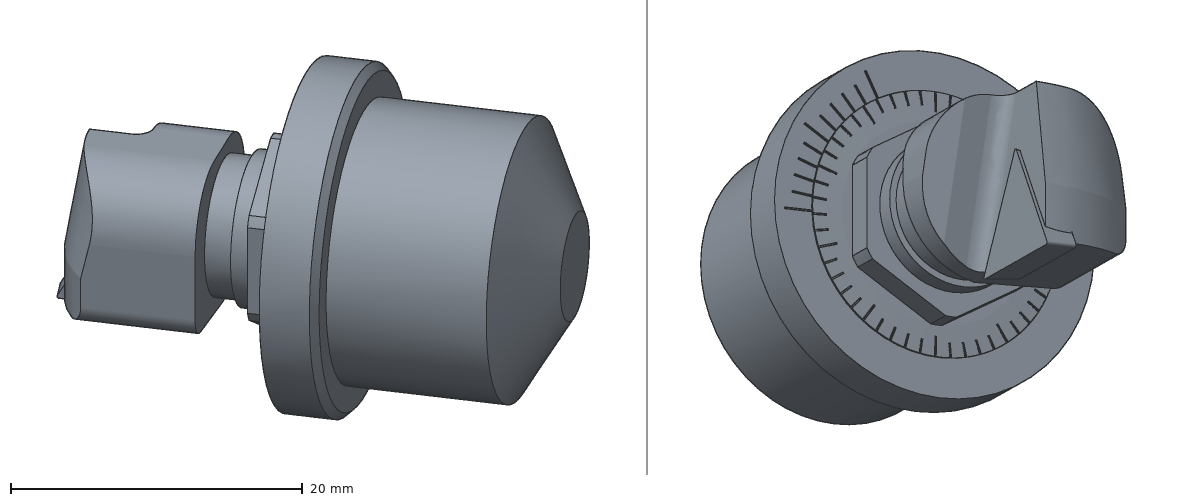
import cadquery as cq
import math


head_back_x = 11.73
collar_front_x = 13.7
hex_front_x = 15.18
dial_front_x = 17.35
dial_rim_x = 17.45
flange_front_x = 17.6
flange_back_x = 21.7
cone_start_x = 33.05
rear_x = 36.65

neck_diameter = 10.0
collar_diameter = 11.0
hex_corner_diameter = 14.5
hex_across_flats = 12.98
dial_diameter = 19.0
barrel_diameter = 19.98
flange_diameter = 24.75
rear_diameter = 7.65
flange_chamfer = 0.55

mark_width = 0.1
mark_depth = 0.07
dial_mark_count = 50
vernier_mark_count = 11
marks_per_long_mark = 5
dial_short_length = 1.03
dial_long_length = 1.43
vernier_short_length = 1.5
vernier_long_length = 2.1
dial_pitch = 360 / dial_mark_count
vernier_pitch = 0.9 * dial_pitch
vernier_middle_angle = 149.8

head_top_z = 6.0
head_left_y = 5.5
head_right_y = -7.48
head_bottom_z = -5.75
head_right_bottom_z = -5.2
upper_right_radius = 5.0
upper_left_radius = 4.0
lower_right_radius = 1.5
left_flat_end_z = 0.45
lower_left_middle = (3.63, -3.85)

nose_front_x = 0.8
nose_radius = 12.0
nose_axis_y = 0.22
nose_break_z = -1.6
nose_relief_angle = 10.0

pocket_floor_y = 0.22
pocket_wall_x = 6.38
pocket_fillet = 1.25
pocket_flare_y = 3.4
pocket_flare_angle = 17.0
pocket_lean_angle = 18.0
pocket_overrun = 1.85

insert_width = 9.3
insert_thickness = 2.5
insert_face_y = 0.5
insert_bottom_z = -6.3
insert_nose_radius = 0.15
insert_relief_angle = 6.0


def x_cylinder(diameter, start_x, end_x):
    return cq.Workplane("YZ", origin=(start_x, 0, 0)).circle(diameter / 2).extrude(end_x - start_x)


def radial_mark(outer_radius, length, angle, floor_x):
    """Thin radial cutter, open to the front; the angle runs from -Y towards +Z."""
    height = floor_x - hex_front_x
    bar = cq.Workplane("XY").box(height, length, mark_width, centered=(False, False, True))
    bar = bar.translate((hex_front_x, -outer_radius, 0))
    return bar.rotate((0, 0, 0), (1, 0, 0), -angle).val()


def dial_marks():
    marks = []
    for index in range(dial_mark_count):
        is_long = index % marks_per_long_mark == 0
        length = dial_long_length if is_long else dial_short_length
        angle = 90 + index * dial_pitch
        marks.append(radial_mark(dial_diameter / 2, length, angle, dial_rim_x + mark_depth))
    return marks


def vernier_marks():
    marks = []
    first_angle = vernier_middle_angle - vernier_pitch * (vernier_mark_count - 1) / 2
    for index in range(vernier_mark_count):
        is_long = index % marks_per_long_mark == 0
        length = vernier_long_length if is_long else vernier_short_length
        angle = first_angle + index * vernier_pitch
        marks.append(radial_mark(dial_diameter / 2 + length, length, angle, flange_front_x + mark_depth))
    return marks


def make_housing():
    """Collar, hexagon, graduated dial, flange and barrel."""
    profile = [
        (hex_front_x, 0),
        (hex_front_x, collar_diameter / 2),
        (dial_front_x, collar_diameter / 2),
        (dial_front_x, hex_corner_diameter / 2),
        (dial_rim_x, dial_diameter / 2),
        (flange_front_x, dial_diameter / 2),
        (flange_front_x, flange_diameter / 2),
        (flange_back_x - flange_chamfer, flange_diameter / 2),
        (flange_back_x, flange_diameter / 2 - flange_chamfer),
        (flange_back_x, barrel_diameter / 2),
        (cone_start_x, barrel_diameter / 2),
        (rear_x, rear_diameter / 2),
        (rear_x, 0),
    ]
    housing = cq.Workplane("XY").polyline(profile).close().revolve(360, (0, 0, 0), (1, 0, 0))
    housing = housing.cut(cq.Workplane(obj=cq.Compound.makeCompound(dial_marks())))
    housing = housing.cut(cq.Workplane(obj=cq.Compound.makeCompound(vernier_marks())))

    hexagon = (
        cq.Workplane("YZ", origin=(hex_front_x, 0, 0))
        .polygon(6, hex_across_flats, circumscribed=True)
        .extrude(dial_front_x - hex_front_x)
        .intersect(x_cylinder(hex_corner_diameter, hex_front_x, dial_front_x))
    )
    collar = x_cylinder(collar_diameter, collar_front_x, hex_front_x)
    return housing.union(hexagon).union(collar)


def head_blank():
    """Constant head section, extruded along X."""
    diagonal = math.sqrt(0.5)
    left_arc_y = head_left_y - upper_left_radius
    left_arc_z = head_top_z - upper_left_radius
    right_arc_y = head_right_y + upper_right_radius
    right_arc_z = head_top_z - upper_right_radius
    blank = (
        cq.Workplane("YZ")
        .moveTo(right_arc_y, head_top_z)
        .lineTo(left_arc_y, head_top_z)
        .threePointArc(
            (left_arc_y + upper_left_radius * diagonal, left_arc_z + upper_left_radius * diagonal),
            (head_left_y, left_arc_z),
        )
        .lineTo(head_left_y, left_flat_end_z)
        .threePointArc(lower_left_middle, (0, head_bottom_z))
        .lineTo(head_right_y, head_right_bottom_z)
        .lineTo(head_right_y, right_arc_z)
        .threePointArc(
            (right_arc_y - upper_right_radius * diagonal, right_arc_z + upper_right_radius * diagonal),
            (right_arc_y, head_top_z),
        )
        .close()
        .extrude(head_back_x)
    )
    lower_right_corner = cq.selectors.NearestToPointSelector(
        (head_back_x / 2, head_right_y, head_right_bottom_z)
    )
    return blank.edges(lower_right_corner).fillet(lower_right_radius)


def nose_envelope():
    """Upright cylinder with a cone on top that bounds the front of the head."""
    top_radius = nose_radius - (head_top_z - nose_break_z) * math.tan(math.radians(nose_relief_angle))
    profile = [
        (0, insert_bottom_z),
        (nose_radius, insert_bottom_z),
        (nose_radius, nose_break_z),
        (top_radius, head_top_z),
        (0, head_top_z),
    ]
    envelope = cq.Workplane("XZ").polyline(profile).close().revolve(360, (0, 0, 0), (0, 1, 0))
    return envelope.translate((nose_front_x + nose_radius, nose_axis_y, 0))


def chip_pocket():
    """Pocket cutter whose walls lean towards +X going down."""
    side_y = head_left_y + pocket_overrun
    flare_x = pocket_wall_x + (side_y - pocket_flare_y) * math.tan(math.radians(pocket_flare_angle))
    fillet_offset = pocket_fillet * (1 - math.sqrt(0.5))
    depth = head_top_z - insert_bottom_z
    lean = depth * math.tan(math.radians(pocket_lean_angle))
    front_x = -pocket_overrun - lean
    outline = (
        cq.Workplane("XY", origin=(0, 0, head_top_z))
        .moveTo(front_x, pocket_floor_y)
        .lineTo(pocket_wall_x - pocket_fillet, pocket_floor_y)
        .threePointArc(
            (pocket_wall_x - fillet_offset, pocket_floor_y + fillet_offset),
            (pocket_wall_x, pocket_floor_y + pocket_fillet),
        )
        .lineTo(pocket_wall_x, pocket_flare_y)
        .lineTo(flare_x, side_y)
        .lineTo(front_x, side_y)
        .close()
    )
    path = cq.Workplane("XZ").moveTo(0, head_top_z).lineTo(lean, head_top_z - depth)
    return outline.sweep(path)


def make_insert():
    """Equilateral insert with round corners and relieved sides."""
    side = insert_width + 2 * insert_nose_radius * (math.sqrt(3) - 1)
    left_corner_x = (insert_width - side) / 2
    corners = [
        (left_corner_x, insert_bottom_z),
        (left_corner_x + side, insert_bottom_z),
        (insert_width / 2, insert_bottom_z + side * math.sin(math.radians(60))),
    ]
    return (
        cq.Workplane("XZ", origin=(0, insert_face_y, 0))
        .polyline(corners)
        .close()
        .extrude(insert_thickness, taper=insert_relief_angle)
        .edges("not #Y")
        .fillet(insert_nose_radius)
    )


def make_cartridge(insert):
    """Head with its chip pocket and insert seat, on a round neck."""
    head = head_blank().intersect(nose_envelope()).cut(chip_pocket()).cut(insert)
    return head.union(x_cylinder(neck_diameter, head_back_x, collar_front_x))


housing = make_housing()
insert = make_insert()
cartridge = make_cartridge(insert)

result = cq.Compound.makeCompound([housing.solids().val(), cartridge.solids().val(), insert.solids().val()])